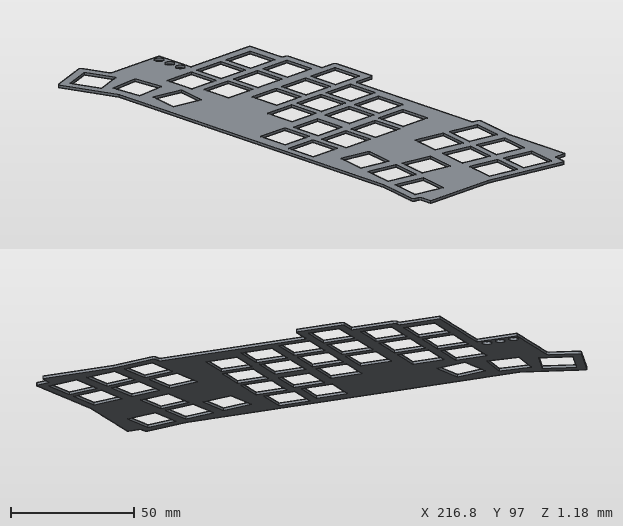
import cadquery as cq
import math


thickness = 1.18
cutout_side = 14.0
rim = 3.85
margin_side = cutout_side + 2 * rim
half_margin = margin_side / 2
key_pitch = 17.0

body_left = -77.6
body_width = 179.6
body_top = 38.4
body_height = 77.8
body_bottom = body_top - body_height

outer_radius = 1.0
inner_radius = 1.0
probe = 0.6

first_column_x = -66.2
first_row_y = 27.15
row_stagger = 1.0
lower_pair_rise = 2.0
finger_steps = [(0, 0), (18, 3), (20, 7.5), (18, -9.4), (18, -2), (18, -4.25)]
rows_per_finger = 3

outer_thumb = (-94.79, -34.88, 20)
thumbs = [(-55.6, -25.9, -10), (-76.25, -28.0, 5), outer_thumb]
thumb_arm_length = 40.0

cluster_x = 58.58
cluster_y = 29.4
cluster_tilt = -10
cluster_column_pitch = 19.0
cluster_columns = 3
arrow_gap = 20.0
arrow_top = key_pitch + arrow_gap
arrow_bottom = arrow_top + key_pitch
cluster_width = (cluster_columns - 1) * cluster_column_pitch + margin_side
cluster_depth = arrow_bottom + margin_side

tab_left = -95.7
tab_top = 4.3
tab_bottom = -28.0
pin_diameter = 4.0
pin_pitch = 6.0
pin_count = 3
pin_inset = 3.1
first_pin_x = tab_left + pin_inset
first_pin_y = tab_top - pin_inset


def slab(left, bottom, width, height):
    """Rectangular piece of the sheet, given by its lower left corner."""
    return cq.Workplane("XY").box(width, height, thickness, centered=False).translate((left, bottom, 0))


def place(piece, x, y, tilt):
    """Turn a piece about the origin and move it to (x, y)."""
    return piece.rotate((0, 0, 0), (0, 0, 1), tilt).translate((x, y, 0))


def cluster_point(across, down):
    """Plate position of a point measured in the tilted frame of the cluster."""
    angle = math.radians(cluster_tilt)
    x = cluster_x + across * math.cos(angle) + down * math.sin(angle)
    y = cluster_y + across * math.sin(angle) - down * math.cos(angle)
    return x, y


def finger_columns():
    """Top switch position of each left-hand column."""
    x, y = first_column_x, first_row_y
    tops = []
    for step_x, step_y in finger_steps:
        x += step_x
        y += step_y
        tops.append((x, y))
    return tops


columns = finger_columns()


def finger_switches():
    """X, Y and tilt of every left-hand switch."""
    keys = []
    for x, y in columns[:-2]:
        for row in range(rows_per_finger):
            keys.append((x, y - row * key_pitch, 0))

    fifth_x, fifth_y = columns[-2]
    sixth_x, sixth_y = columns[-1]
    for row, shift in enumerate([0, row_stagger, row_stagger, -row_stagger]):
        keys.append((sixth_x + shift, sixth_y - row * key_pitch, 0))
    for row in range(2):
        keys.append((fifth_x, fifth_y - row * key_pitch, 0))
    for row, shift in [(2, row_stagger), (3, -row_stagger)]:
        keys.append((fifth_x + shift, sixth_y + lower_pair_rise - row * key_pitch, 0))
    return keys


def cluster_switches():
    """X, Y and tilt of every switch in the right-hand cluster."""
    spots = [(1, arrow_top)]
    for column in range(cluster_columns):
        for down in (0, key_pitch, arrow_bottom):
            spots.append((column, down))
    keys = []
    for column, down in spots:
        x, y = cluster_point(column * cluster_column_pitch, down)
        keys.append((x, y, cluster_tilt))
    return keys


def outline():
    """Sheet without openings: body, tab and the raised rims around the outlying switches."""
    body = slab(body_left, body_bottom, body_width, body_height)
    tab = slab(tab_left, tab_bottom, body_left - tab_left + rim, tab_top - tab_bottom)
    plate = body.union(tab)

    for x, y in columns[1:3]:
        column_margin = slab(x - half_margin, y - half_margin, margin_side, margin_side)
        plate = plate.union(column_margin.edges("|Z").fillet(outer_radius))

    arm = slab(-half_margin, -half_margin, thumb_arm_length, margin_side)
    plate = plate.union(place(arm.edges("|Z").fillet(outer_radius), *outer_thumb))

    block = slab(-half_margin, half_margin - cluster_depth, cluster_width, cluster_depth)
    plate = plate.union(place(block.edges("|Z").fillet(outer_radius), cluster_x, cluster_y, cluster_tilt))
    return plate


def cluster_edge_x(across, y):
    """X at which the cluster edge lying `across` from its first column reaches height y."""
    angle = math.radians(cluster_tilt)
    down = (cluster_y + across * math.sin(angle) - y) / math.cos(angle)
    return cluster_point(across, down)[0]


def round_inner_corners(plate):
    """Round the hollow corners where the raised parts grow out of the straight edges."""
    thumb_x, thumb_y, thumb_tilt = outer_thumb
    slope = math.radians(thumb_tilt)
    arm_top_y = thumb_y + (tab_left - thumb_x) * math.tan(slope) + half_margin / math.cos(slope)
    corners = [
        (columns[1][0] - half_margin, body_top),
        (columns[2][0] + half_margin, body_top),
        (cluster_edge_x(-half_margin, body_top), body_top),
        (cluster_edge_x(cluster_width - half_margin, body_bottom), body_bottom),
        (tab_left, arm_top_y),
    ]
    for x, y in corners:
        picker = cq.selectors.BoxSelector((x - probe, y - probe, 0), (x + probe, y + probe, thickness))
        plate = plate.edges("|Z").edges(picker).fillet(inner_radius)
    return plate


def cut_switches(plate):
    """Cut a square opening for every switch."""
    cutter = slab(-cutout_side / 2, -cutout_side / 2, cutout_side, cutout_side)
    switches = finger_switches() + thumbs + cluster_switches()
    cutters = [place(cutter, x, y, tilt).val() for x, y, tilt in switches]
    return plate.cut(cq.Workplane(cq.Compound.makeCompound(cutters)))


def cut_pins(plate):
    """Drill the row of pin holes in the tab."""
    centres = [(first_pin_x + i * pin_pitch, first_pin_y) for i in range(pin_count)]
    pins = cq.Workplane("XY").pushPoints(centres).circle(pin_diameter / 2).extrude(thickness)
    return plate.cut(pins)


result = cut_pins(cut_switches(round_inner_corners(outline())))